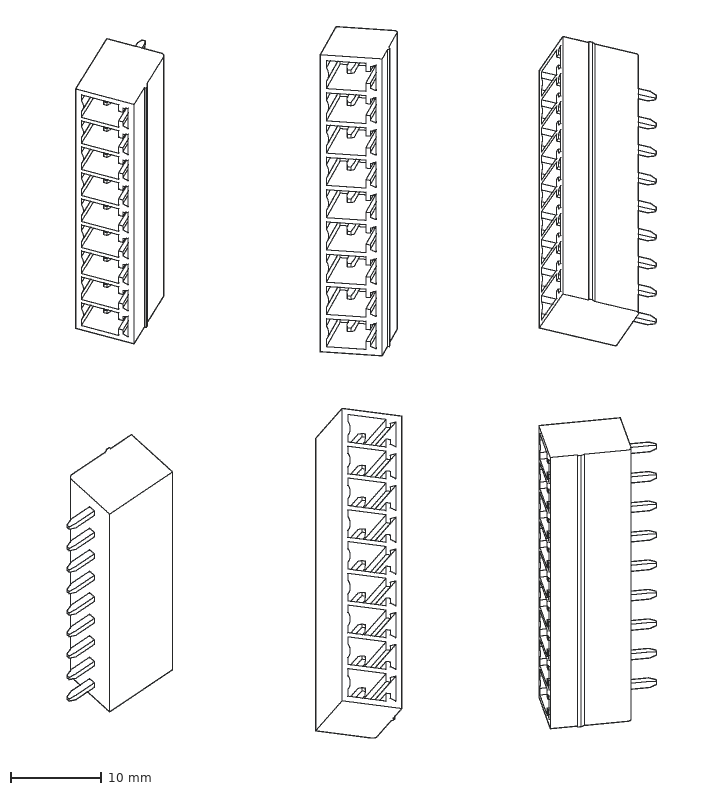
import cadquery as cq


POLE_COUNT = 9
PITCH = 3.81
END_MARGIN = 2.3
HOUSING_WIDTH = 7.0
HOUSING_DEPTH = 9.2
HOUSING_LENGTH = (POLE_COUNT - 1) * PITCH + 2 * END_MARGIN
BACK_EDGE_RADIUS = 0.5

RIDGE_HEIGHT = 0.2
RIDGE_FRONT = 3.05
RIDGE_FLAT = 0.4
RIDGE_RAMP = 0.4
RIDGE_EMBED = 0.2

SOCKET_DEPTH = 8.0
SOCKET_LEFT = 0.7
SOCKET_RIGHT = 5.15
SOCKET_HALF_HEIGHT = 1.65
BULGE_HEIGHT = 0.25
BULGE_HALF_WIDTH = 0.8

NECK_HALF_HEIGHT = 0.7
KEYWAY_LEFT = 5.65
KEYWAY_RIGHT = 6.3
KEYWAY_LEFT_HALF_HEIGHT = 1.25
KEYWAY_RIGHT_HALF_HEIGHT = 1.5

PIN_X = 3.0
PIN_SIZE = 0.8
PIN_TIP_SIZE = 0.4
PIN_TIP_LENGTH = 0.8
PIN_TAIL = 3.5
PIN_FRONT = 1.4
COLLAR_DIAMETER = 1.8
COLLAR_HEIGHT = 0.5


def housing():
    """Plain block with one rounded long edge at the back."""
    block = cq.Workplane("XY").box(
        HOUSING_WIDTH, HOUSING_DEPTH, HOUSING_LENGTH, centered=(False, False, True)
    )
    return block.edges("|Z and >X and >Y").fillet(BACK_EDGE_RADIUS)


def latch_ridge():
    """Ridge running the full housing length, steep in front and ramped behind."""
    ridge_top = HOUSING_WIDTH + RIDGE_HEIGHT
    flat_end = RIDGE_FRONT + RIDGE_FLAT
    root = HOUSING_WIDTH - RIDGE_EMBED
    profile = [
        (root, RIDGE_FRONT),
        (ridge_top, RIDGE_FRONT),
        (ridge_top, flat_end),
        (HOUSING_WIDTH, flat_end + RIDGE_RAMP),
        (root, flat_end + RIDGE_RAMP),
    ]
    return cq.Workplane("XY").polyline(profile).close().extrude(HOUSING_LENGTH / 2, both=True)


def socket(z):
    """Space cut from the mating face for the pole centred at height z."""
    outline = (
        cq.Workplane("XZ", origin=(0, 0, z))
        .moveTo(SOCKET_LEFT, BULGE_HALF_WIDTH)
        .lineTo(SOCKET_LEFT, SOCKET_HALF_HEIGHT)
        .lineTo(SOCKET_RIGHT, SOCKET_HALF_HEIGHT)
        .lineTo(SOCKET_RIGHT, NECK_HALF_HEIGHT)
        .lineTo(KEYWAY_LEFT, NECK_HALF_HEIGHT)
        .lineTo(KEYWAY_LEFT, KEYWAY_LEFT_HALF_HEIGHT)
        .lineTo(KEYWAY_RIGHT, KEYWAY_RIGHT_HALF_HEIGHT)
        .lineTo(KEYWAY_RIGHT, -KEYWAY_RIGHT_HALF_HEIGHT)
        .lineTo(KEYWAY_LEFT, -KEYWAY_LEFT_HALF_HEIGHT)
        .lineTo(KEYWAY_LEFT, -NECK_HALF_HEIGHT)
        .lineTo(SOCKET_RIGHT, -NECK_HALF_HEIGHT)
        .lineTo(SOCKET_RIGHT, -SOCKET_HALF_HEIGHT)
        .lineTo(SOCKET_LEFT, -SOCKET_HALF_HEIGHT)
        .lineTo(SOCKET_LEFT, -BULGE_HALF_WIDTH)
        .threePointArc((SOCKET_LEFT + BULGE_HEIGHT, 0), (SOCKET_LEFT, BULGE_HALF_WIDTH))
        .close()
    )
    return outline.extrude(-SOCKET_DEPTH)


def pin_tip(base_y, end_y, z):
    """Square pyramid frustum narrowing from base_y to end_y."""
    frustum = (
        cq.Workplane("XZ", origin=(PIN_X, base_y, z))
        .rect(PIN_SIZE, PIN_SIZE)
        .workplane(offset=base_y - end_y)
        .rect(PIN_TIP_SIZE, PIN_TIP_SIZE)
        .loft(ruled=True)
    )
    return frustum


def contact_pin(z):
    """Square pin through the socket floor, pointed at both ends."""
    back_end = HOUSING_DEPTH + PIN_TAIL
    shank_front = PIN_FRONT + PIN_TIP_LENGTH
    shank_back = back_end - PIN_TIP_LENGTH
    shank = (
        cq.Workplane("XZ", origin=(PIN_X, shank_front, z))
        .rect(PIN_SIZE, PIN_SIZE)
        .extrude(shank_front - shank_back)
    )
    collar = (
        cq.Workplane("XZ", origin=(PIN_X, SOCKET_DEPTH, z))
        .circle(COLLAR_DIAMETER / 2)
        .extrude(COLLAR_HEIGHT)
    )
    front_tip = pin_tip(shank_front, PIN_FRONT, z)
    back_tip = pin_tip(shank_back, back_end, z)
    return shank.union(collar).union(front_tip).union(back_tip)


result = housing().union(latch_ridge())
for pole in range(POLE_COUNT):
    pole_z = (pole - (POLE_COUNT - 1) / 2) * PITCH
    result = result.cut(socket(pole_z)).union(contact_pin(pole_z))